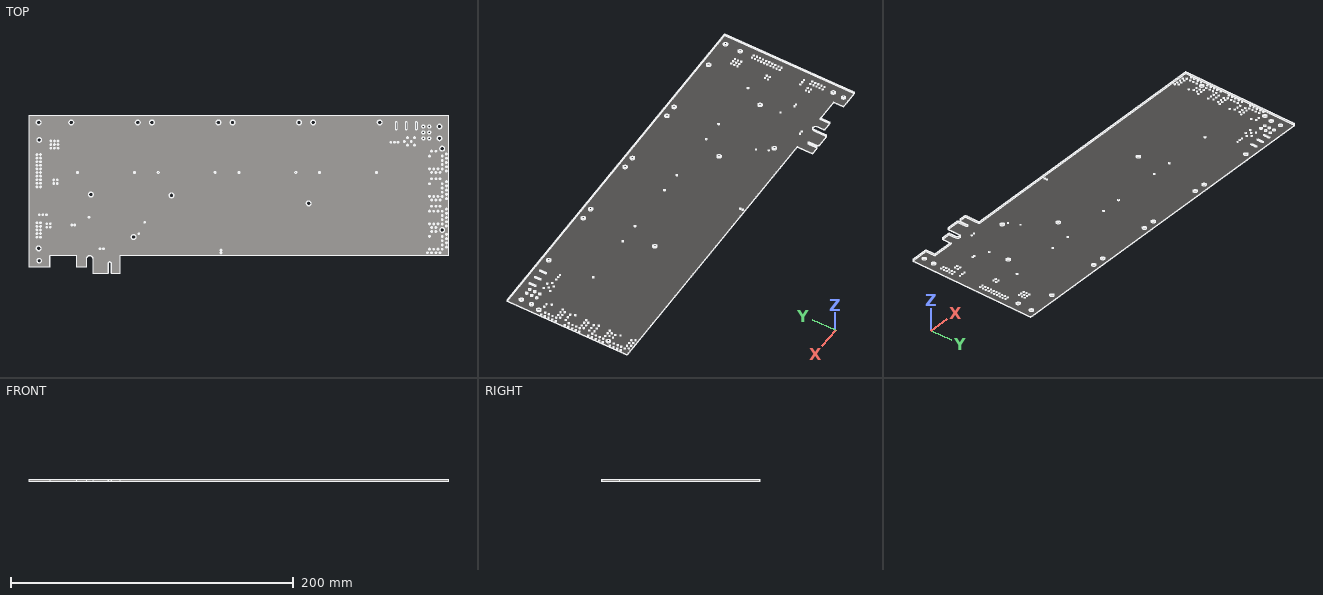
import cadquery as cq


board_length = 296.6
board_width = 111.75
board_thickness = 1.6
main_edge_y = 12.6
tab_edge_y = 4.5
corner_tab_right = 14.75
small_tab_left = 33.5
small_tab_right = 40.7
tongue_left = 45.2
tongue_right = 64.5
key_notch_x = 57.1
key_notch_width = 1.9
key_notch_top_y = 8.2
key_notch_chamfer = 0.4

via_hole = 0.8
pin_hole = 0.9
lead_hole = 1.0
post_hole = 1.2
power_hole = 1.9
peg_hole = 3.0
mount_hole = 3.2

module_count = 4
module_pitch = 57.0
module_mount_x = 29.92
module_mount_spacing = 47.0
module_mount_y = 106.8
module_post_x = 34.4
module_post_spacing = 40.2
module_post_y = 71.5

mount_points = [
    (6.89, module_mount_y),
    (6.89, 17.79),
    (43.8, 55.85),
    (73.95, 25.84),
    (100.77, 55.24),
    (197.75, 49.6),
]

left_peg_x = 7.26
left_peg_y = (94.44, 9.08)

header_pitch = 2.54
headers = [
    (5.65, 84.14, 2, 10),
    (5.65, 35.9, 2, 5),
    (7.3, 41.6, 3, 1),
    (12.6, 35.3, 2, 2),
    (15.5, 93.73, 3, 3),
    (50.2, 17.5, 2, 1),
    (255.8, 92.8, 3, 1),
]

socket_x = 17.52
socket_y = 66.2
socket_pitch = 2.5

lead_pitch = 2.0
flat_pair = (30.3, 34.4)
upright_pair = (135.8, 16.6)
single_lead = (42.44, 39.8)
single_pin = (77.7, 28.2)
single_via = (81.74, 36.2)

triangle_x = 265.34
triangle_y = 93.4
triangle_pitch = 4.9
triangle_depth = 2.22
triangle_half_height = 2.65

power_x = 278.75
power_y = 103.94
power_pitch = 4.2
power_columns = 2
power_rows = 3
power_peg_x = 290.2

slot_x = 259.6
slot_y = 104.57
slot_pitch = 7.1
slot_count = 3
slot_length = 5.6
slot_width = 1.0

cage_x = 283.1
cage_pitch = 3.0
cage_half_pitch = cage_pitch / 2
cage_columns = 4
side_rows = 4
edge_rows = 5
head_gap = 3.5
tail_gap = 2.5
ports = [
    (83.0, 1, 2, 3, edge_rows),
    (63.5, 1, 3, 3, edge_rows),
    (44.1, cage_columns - 1, 3, 2, edge_rows),
    (26.24, 1, 2, 3, edge_rows - 1),
]
side_x = cage_x + (cage_columns - 1) * cage_pitch
cage_mount_y = (88.3, 30.8)


def grid(x, y, columns, rows, column_pitch, row_pitch):
    """Points of a grid that runs right and down from its upper left point."""
    return [(x + i * column_pitch, y - j * row_pitch) for i in range(columns) for j in range(rows)]


def drill(board, points, diameter):
    """The board with a through hole at each point."""
    tools = cq.Workplane("XY").pushPoints(points).circle(diameter / 2).extrude(board_thickness)
    return board.cut(tools)


def make_blank():
    """The board outline with its tabs, tongue, relief gap and key notch."""
    relief_radius = (tongue_left - small_tab_right) / 2
    relief_x = (tongue_left + small_tab_right) / 2
    notch_radius = key_notch_width / 2
    notch_left = key_notch_x - notch_radius
    notch_right = key_notch_x + notch_radius
    return (
        cq.Workplane("XY")
        .moveTo(0, board_width)
        .lineTo(0, tab_edge_y)
        .lineTo(corner_tab_right, tab_edge_y)
        .lineTo(corner_tab_right, main_edge_y)
        .lineTo(small_tab_left, main_edge_y)
        .lineTo(small_tab_left, tab_edge_y)
        .lineTo(small_tab_right, tab_edge_y)
        .lineTo(small_tab_right, main_edge_y - relief_radius)
        .threePointArc((relief_x, main_edge_y), (tongue_left, main_edge_y - relief_radius))
        .lineTo(tongue_left, 0)
        .lineTo(notch_left - key_notch_chamfer, 0)
        .lineTo(notch_left, key_notch_chamfer)
        .lineTo(notch_left, key_notch_top_y - notch_radius)
        .threePointArc((key_notch_x, key_notch_top_y), (notch_right, key_notch_top_y - notch_radius))
        .lineTo(notch_right, key_notch_chamfer)
        .lineTo(notch_right + key_notch_chamfer, 0)
        .lineTo(tongue_right, 0)
        .lineTo(tongue_right, main_edge_y)
        .lineTo(board_length, main_edge_y)
        .lineTo(board_length, board_width)
        .close()
        .extrude(board_thickness)
    )


def add_module_sites(board):
    """Mounting and post holes of every module site."""
    mounts = []
    posts = []
    for i in range(module_count):
        shift = i * module_pitch
        mounts += grid(module_mount_x + shift, module_mount_y, 2, 1, module_mount_spacing, 0)
        posts += grid(module_post_x + shift, module_post_y, 2, 1, module_post_spacing, 0)
    return drill(drill(board, mounts, mount_hole), posts, post_hole)


def add_headers(board):
    """Pin holes of the headers."""
    pins = []
    for x, y, columns, rows in headers:
        pins += grid(x, y, columns, rows, header_pitch, header_pitch)
    return drill(board, pins, pin_hole)


def add_small_parts(board):
    """Holes of the two-lead and three-lead parts, the socket and the lone holes."""
    leads = grid(*flat_pair, 2, 1, lead_pitch, 0)
    leads += grid(*upright_pair, 1, 2, 0, lead_pitch)
    leads.append(single_lead)
    for i in range(2):
        x = triangle_x + i * triangle_pitch
        leads.append((x, triangle_y))
        leads.append((x + triangle_depth, triangle_y + triangle_half_height))
        leads.append((x + triangle_depth, triangle_y - triangle_half_height))
    board = drill(board, leads, lead_hole)
    pins = grid(socket_x, socket_y, 2, 2, socket_pitch, socket_pitch)
    pins.append(single_pin)
    board = drill(board, pins, pin_hole)
    return drill(board, [single_via], via_hole)


def add_power_connector(board):
    """Contact and peg holes of the power connector."""
    contacts = grid(power_x, power_y, power_columns, power_rows, power_pitch, power_pitch)
    pegs = grid(power_peg_x, power_y, 1, 2, 0, (power_rows - 1) * power_pitch)
    return drill(drill(board, contacts, power_hole), pegs, peg_hole)


def add_terminal_slots(board):
    """Upright slots for the flat terminals."""
    centres = grid(slot_x, slot_y, slot_count, 1, slot_pitch, 0)
    outlines = cq.Workplane("XY").pushPoints(centres).slot2D(slot_length, slot_width, 90)
    return board.cut(outlines.extrude(board_thickness))


def add_cage_ports(board):
    """Pin holes of the cage ports and their two mounting holes."""
    pins = []
    flank_x = cage_x + cage_half_pitch
    for head_y, head_pins, upper_flank, lower_flank, edge_pins in ports:
        tail_y = head_y - (side_rows - 1) * cage_pitch
        pins += grid(cage_x, head_y, head_pins, 1, cage_pitch, 0)
        pins += grid(cage_x, tail_y, cage_columns - 1, 1, cage_pitch, 0)
        pins += grid(side_x, head_y, 1, side_rows, 0, cage_pitch)
        pins += grid(side_x + cage_pitch, head_y + cage_half_pitch, 1, edge_pins, 0, cage_pitch)
        pins += grid(flank_x, head_y + head_gap, upper_flank, 1, cage_pitch, 0)
        pins += grid(flank_x, tail_y - tail_gap, lower_flank, 1, cage_pitch, 0)
    pins.append((flank_x - cage_pitch, tail_y - tail_gap))
    board = drill(board, pins, lead_hole)
    return drill(board, [(side_x, y) for y in cage_mount_y], mount_hole)


result = make_blank()
result = drill(result, mount_points, mount_hole)
result = drill(result, [(left_peg_x, y) for y in left_peg_y], peg_hole)
result = add_module_sites(result)
result = add_headers(result)
result = add_small_parts(result)
result = add_power_connector(result)
result = add_terminal_slots(result)
result = add_cage_ports(result)